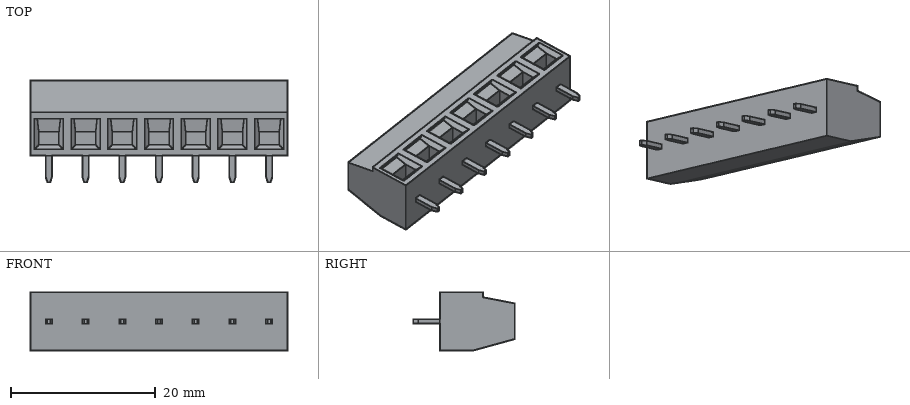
import cadquery as cq

pole_count = 7
pitch = 5.08
total_length = pole_count * pitch

housing_depth = 10.4
housing_height = 8.1
front_block_depth = 6.0
step_height = 0.7
back_top_drop = 1.55
back_bottom_rise = 1.6
base_depth = 4.6

mouth_width = 4.0
mouth_front_margin = 0.85
mouth_length = 4.27
mouth_bevel = 0.60
front_bevel_run = 0.64
ledge_length = 1.8
ledge_back_depth = 0.4
well_depth = 4.0

pin_width = 0.9
pin_thickness = 0.64
pin_length = 3.7
pin_tip_length = 0.75
pin_tip_width = 0.4
pin_height = housing_height / 2

pole_positions = [(i - (pole_count - 1) / 2) * pitch for i in range(pole_count)]


def make_housing():
    """Side profile in the YZ plane, extruded along X."""
    profile = [
        (0, 0),
        (base_depth, 0),
        (housing_depth, back_bottom_rise),
        (housing_depth, housing_height - back_top_drop),
        (front_block_depth, housing_height - step_height),
        (front_block_depth, housing_height),
        (0, housing_height),
    ]
    return cq.Workplane("YZ").polyline(profile).close().extrude(total_length / 2, both=True)


def make_mouth(x):
    """Cutter for one wire mouth: bevelled recess over a straight-sided well."""
    front = mouth_front_margin
    back = front + mouth_length
    ledge_edge = back - ledge_length
    bevel_bottom = housing_height - mouth_bevel
    well_width = mouth_width - 2 * mouth_bevel

    side_profile = [
        (front, housing_height),
        (back, housing_height),
        (back, housing_height - ledge_back_depth),
        (ledge_edge, bevel_bottom),
        (front + front_bevel_run, bevel_bottom),
    ]
    cross_section = [
        (-mouth_width / 2, housing_height),
        (mouth_width / 2, housing_height),
        (well_width / 2, bevel_bottom),
        (-well_width / 2, bevel_bottom),
    ]
    recess = cq.Workplane("YZ").polyline(side_profile).close().extrude(mouth_width / 2, both=True)
    bevelled_sides = cq.Workplane("XZ").polyline(cross_section).close().extrude(-housing_depth)
    well = cq.Workplane("XY").box(
        well_width,
        ledge_edge - front - front_bevel_run,
        well_depth,
        centered=(True, False, False),
    ).translate((0, front + front_bevel_run, housing_height - well_depth))
    return recess.intersect(bevelled_sides).union(well).translate((x, 0, 0))


def make_pin(x):
    """Flat solder pin with a tapered tip, pointing toward -Y."""
    outline = [
        (-pin_width / 2, 0),
        (pin_width / 2, 0),
        (pin_width / 2, pin_tip_length - pin_length),
        (pin_tip_width / 2, -pin_length),
        (-pin_tip_width / 2, -pin_length),
        (-pin_width / 2, pin_tip_length - pin_length),
    ]
    pin = cq.Workplane("XY").polyline(outline).close().extrude(pin_thickness / 2, both=True)
    return pin.translate((x, 0, pin_height))


result = make_housing()
for pole_x in pole_positions:
    result = result.cut(make_mouth(pole_x))
    result = result.union(make_pin(pole_x))